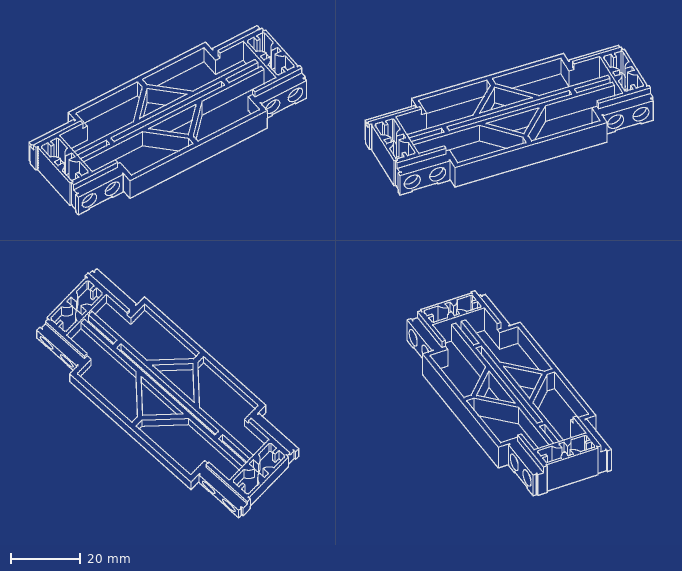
import cadquery as cq

body_width = 31.8
body_length = 48.0
body_height = 7.8
wall = 1.6
floor = 1.6

neck_width = 25.5
neck_end = 39.9
raised_width = 19.2
raised_height = 10.0
inner_width = 16.8
cavity_end = 32.1

key_step = 0.5
key_outer = 11.4
key_inner = inner_width / 2

slit_width = 0.2
tongue_slit_depth = 0.3
groove_slit_width = 0.1
groove_slit_depth = 0.5
corner_slit_depth = 0.5

pocket_width = 15.9
pocket_start = 33.0
pocket_end = 39.0
pocket_corner_chamfer = 0.4
pocket_center = (pocket_start + pocket_end) / 2
tab_length = 1.6
tab_width = 1.0
ear_radius = 3.3
ear_offset = 4.05
ear_gap = 1.7

recess_diameter = 5.0
recess_depth = 2.0
recess_height = 3.9
recess_spacing = 8.0
recess_positions = (pocket_center - recess_spacing, pocket_center)

notch_height = 0.45
notch_depth = 1.0

rib_gap = 1.7
rib_thickness = 1.5
rib_outer = rib_gap / 2 + rib_thickness
bridge_position = 20.1
bridge_thickness = 1.6

brace_thickness = 1.5
brace_reach = 11.7
brace_half_offset = brace_thickness / 2 * 2 ** 0.5
crossbar_width = 1.7


def box(x_min, x_max, y_min, y_max, z_min, z_max):
    """Axis-aligned block between the given limits."""
    return (
        cq.Workplane("XY")
        .box(x_max - x_min, y_max - y_min, z_max - z_min, centered=False)
        .translate((x_min, y_min, z_min))
    )


def centered_box(width, y_min, y_max, z_min, z_max):
    """Block that is symmetric about the YZ plane."""
    return box(-width / 2, width / 2, y_min, y_max, z_min, z_max)


def both_ends(shape):
    """The shape together with its copy turned half a turn about Z."""
    return shape.union(shape.rotate((0, 0, 0), (0, 0, 1), 180))


def make_outer():
    """Solid body with a stepped block at each end, one tongue and one groove per end."""
    body = centered_box(body_width, -body_length / 2, body_length / 2, 0, body_height)
    end_block = centered_box(neck_width, 0, neck_end, 0, body_height)
    raised = centered_box(raised_width, body_length / 2, neck_end, 0, raised_height)
    tongue = box(key_inner, key_outer, body_length / 2, neck_end + key_step, 0, body_height)
    raised_tongue = box(
        key_inner, raised_width / 2, body_length / 2, neck_end + key_step, 0, raised_height
    )
    groove = box(-key_outer, -key_inner, neck_end - key_step, neck_end, 0, raised_height)
    end = end_block.union(raised).union(tongue).union(raised_tongue).cut(groove)
    return body.union(both_ends(end.cut(make_key_slits())))


def make_key_slits():
    """Slits just outside both flanks of the tongue and in both corners of the groove floor."""
    slits = cq.Workplane("XY")
    tongue_slit_floor = neck_end - tongue_slit_depth
    for x in (key_inner - slit_width, key_outer):
        slits = slits.add(box(x, x + slit_width, tongue_slit_floor, neck_end, 0, raised_height))
    groove_floor = neck_end - key_step
    groove_slit_floor = groove_floor - groove_slit_depth
    for x in (-key_outer, -key_inner - groove_slit_width):
        x_end = x + groove_slit_width
        slits = slits.add(box(x, x_end, groove_slit_floor, groove_floor, 0, raised_height))
    return slits.combine()


def make_cavity():
    """Interior space: a wide middle and a narrower stretch into each end block."""
    half_length = body_length / 2 - wall
    wide = centered_box(body_width - 2 * wall, -half_length, half_length, floor, raised_height)
    narrow = centered_box(inner_width, -cavity_end, cavity_end, floor, raised_height)
    return wide.union(narrow)


def make_ribs():
    """Two long parallel ribs joined by two bridges."""
    ribs = centered_box(2 * rib_outer, -cavity_end, cavity_end, 0, body_height)
    gap = centered_box(rib_gap, -cavity_end, cavity_end, floor, body_height)
    bridge = centered_box(
        rib_gap,
        bridge_position - bridge_thickness / 2,
        bridge_position + bridge_thickness / 2,
        0,
        body_height,
    )
    return ribs.cut(gap).union(both_ends(bridge))


def diamond(reach):
    """Square prism standing on its corners, reaching equally far along X and Y."""
    corners = [(reach, 0), (0, reach), (-reach, 0), (0, -reach)]
    return cq.Workplane("XY").polyline(corners).close().extrude(body_height)


def make_bracing():
    """Diamond frame tied to the side walls, open between the twin ribs."""
    frame = diamond(brace_reach + brace_half_offset).cut(diamond(brace_reach - brace_half_offset))
    crossbar = box(
        brace_reach,
        body_width / 2 - wall,
        -crossbar_width / 2,
        crossbar_width / 2,
        0,
        body_height,
    )
    gap = centered_box(rib_gap, -body_length / 2, body_length / 2, 0, body_height)
    return frame.union(both_ends(crossbar)).cut(gap)


def make_end_pocket():
    """Pocket in one end block, with cut corners, less two side tabs and four rounded ears."""
    pocket = centered_box(pocket_width, pocket_start, pocket_end, floor, raised_height)
    pocket = pocket.edges("|Z").chamfer(pocket_corner_chamfer)
    for side in (-1, 1):
        ear = (
            cq.Workplane("XY")
            .center(0, pocket_center + side * ear_offset)
            .circle(ear_radius)
            .extrude(raised_height)
        )
        tab = (
            cq.Workplane("XY")
            .center(side * (pocket_width - tab_length) / 2, pocket_center)
            .rect(tab_length, tab_width)
            .extrude(raised_height)
        )
        pocket = pocket.cut(ear).cut(tab)
    slot = centered_box(ear_gap, pocket_start, pocket_end, floor, raised_height)
    return pocket.union(slot)


def make_side_cuts():
    """Round recesses, bottom notch and corner slit on both sides of one end block."""
    face = neck_width / 2
    cuts = cq.Workplane("XY")
    for side in (-1, 1):
        inner = face - recess_depth
        for y in recess_positions:
            recess = (
                cq.Workplane("YZ")
                .center(y, recess_height)
                .circle(recess_diameter / 2)
                .extrude(side * recess_depth)
                .translate((side * inner, 0, 0))
            )
            cuts = cuts.add(recess)
        notch_center = side * (face - notch_depth / 2)
        notch = centered_box(notch_depth, *recess_positions, 0, notch_height)
        cuts = cuts.add(notch.translate((notch_center, 0, 0)))
        corner_center = side * (face - corner_slit_depth / 2)
        corner = centered_box(
            corner_slit_depth, body_length / 2, body_length / 2 + slit_width, 0, body_height
        )
        cuts = cuts.add(corner.translate((corner_center, 0, 0)))
    return cuts.combine()


result = make_outer().cut(make_cavity()).union(make_ribs()).union(make_bracing())
result = result.cut(both_ends(make_end_pocket())).cut(both_ends(make_side_cuts()))